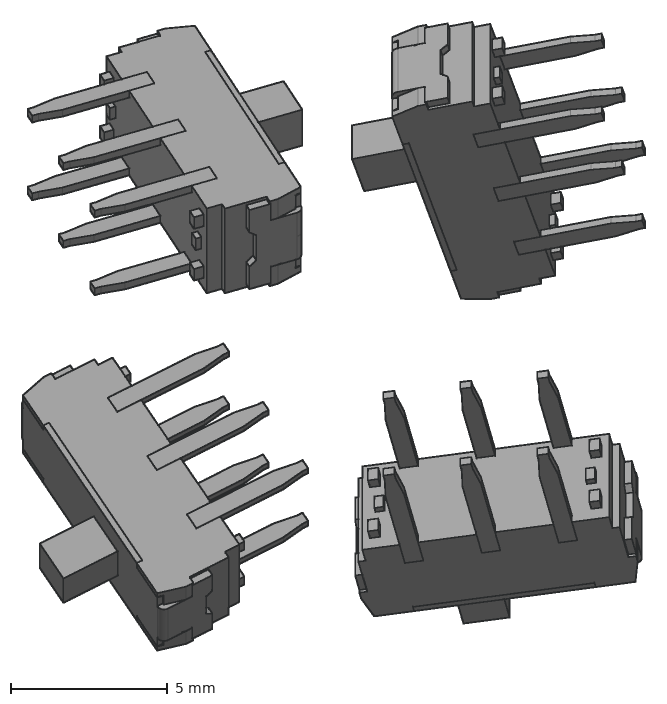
import cadquery as cq


overall_width = 9.0
housing_height = 3.6
housing_depth = 3.18
half_width = overall_width / 2
half_height = housing_height / 2
side_half_width = 4.25
base_half_width = 4.01
slant_depth = 0.92
shoulder_depth = 1.2
base_step_depth = 2.65

cover_thickness = 0.21
plate_height = 3.08
tongue_width = 5.9
strap_height = 1.98
strap_thickness = half_width - side_half_width
wing_start_depth = 1.15
wing_end_depth = 1.9
wing_half_height = 1.68
notch_depth = 1.665
notch_half_height_inner = 0.53
notch_half_height_outer = 0.73

slider_width = 1.5
slider_height = 1.53
slider_length = 2.0
slider_x = -0.99

peg_height = 0.495
corner_peg_width = 0.33
corner_peg_length = 0.33
corner_peg_x = 3.6
corner_peg_z = 1.1
middle_peg_width = 0.3
middle_peg_length = 0.2
middle_peg_x = 3.44

terminal_pitch = 2.5
terminal_width = 0.6
terminal_tip_width = 0.36
terminal_thickness = 0.3
terminal_embedded = 0.88
terminal_straight = 2.32
terminal_taper_end = 3.105
terminal_length = 3.32


def block(x_centre, y_front, z_centre, width, depth, height):
    """Box that starts at y_front and runs `depth` toward -Y."""
    return (
        cq.Workplane("XY")
        .box(width, depth, height)
        .translate((x_centre, y_front - depth / 2, z_centre))
    )


def mirrored_outline(right_side):
    """Close a right-hand chain of points with its mirror image about X = 0."""
    left_side = [(-x, y) for x, y in reversed(right_side)]
    return cq.Workplane("XY").polyline(right_side + left_side).close()


def make_cover():
    plate = block(0, 0, 0, 2 * side_half_width, cover_thickness, plate_height)
    tongues = block(0, 0, 0, tongue_width, cover_thickness, housing_height)
    cover = plate.union(tongues)
    for side in (-1, 1):
        cover = cover.union(make_strap(side))
    return cover.cut(make_slider())


def make_strap(side):
    """Bent end of the cover: rounded strap, then a wide wing with a notched edge."""
    half_strap = strap_height / 2
    upper_edge = [
        (0, half_strap),
        (-wing_start_depth, half_strap),
        (-wing_start_depth, wing_half_height),
        (-wing_end_depth, wing_half_height),
        (-wing_end_depth, notch_half_height_outer),
        (-notch_depth, notch_half_height_inner),
    ]
    lower_edge = [(y, -z) for y, z in reversed(upper_edge)]
    strap = (
        cq.Workplane("YZ", origin=(side_half_width, 0, 0))
        .polyline(upper_edge + lower_edge)
        .close()
        .extrude(strap_thickness)
    )
    bend = (
        cq.Workplane("XY", origin=(side_half_width, -strap_thickness, 0))
        .circle(strap_thickness)
        .extrude(half_strap, both=True)
    )
    corner = block(
        side_half_width + strap_thickness / 2, 0, 0, strap_thickness, strap_thickness, strap_height
    )
    strap = strap.cut(corner.cut(bend))
    return strap if side > 0 else strap.mirror("YZ")


def make_slider():
    """Knob with a root that fills the window through the cover."""
    return block(
        slider_x, slider_length, 0, slider_width, slider_length + cover_thickness, slider_height
    )


def make_pegs():
    pegs = cq.Workplane("XY")
    for side in (-1, 1):
        pegs = pegs.union(
            block(side * middle_peg_x, -housing_depth, 0, middle_peg_width, middle_peg_length, peg_height)
        )
        for level in (-1, 1):
            pegs = pegs.union(
                block(
                    side * corner_peg_x, -housing_depth, level * corner_peg_z,
                    corner_peg_width, corner_peg_length, peg_height,
                )
            )
    return pegs


def make_terminal(x_centre, level):
    """Flat terminal with a tapered tip, flush with the top (+1) or bottom (-1) of the housing."""
    half_blade = terminal_width / 2
    half_tip = terminal_tip_width / 2
    right_side = [
        (half_blade, terminal_embedded),
        (half_blade, -terminal_straight),
        (half_tip, -terminal_taper_end),
        (half_tip, -terminal_length),
    ]
    z_centre = level * (half_height - terminal_thickness / 2)
    return (
        mirrored_outline(right_side)
        .extrude(terminal_thickness / 2, both=True)
        .translate((x_centre, -housing_depth, z_centre))
    )


def make_housing(cover, terminals):
    right_side = [
        (side_half_width, 0),
        (half_width, -slant_depth),
        (half_width, -shoulder_depth),
        (side_half_width, -shoulder_depth),
        (side_half_width, -base_step_depth),
        (base_half_width, -base_step_depth),
        (base_half_width, -housing_depth),
    ]
    housing = mirrored_outline(right_side).extrude(half_height, both=True)
    plate_recess = block(0, 0, 0, overall_width, cover_thickness, plate_height)
    housing = housing.cut(plate_recess).cut(cover)
    for terminal in terminals:
        housing = housing.cut(terminal)
    return housing.union(make_slider()).union(make_pegs())


cover = make_cover()
terminals = [
    make_terminal(column * terminal_pitch, level)
    for column in (-1, 0, 1)
    for level in (-1, 1)
]
housing = make_housing(cover, terminals)

bodies = [housing, cover, *terminals]
result = cq.Compound.makeCompound([body.solids().val() for body in bodies])